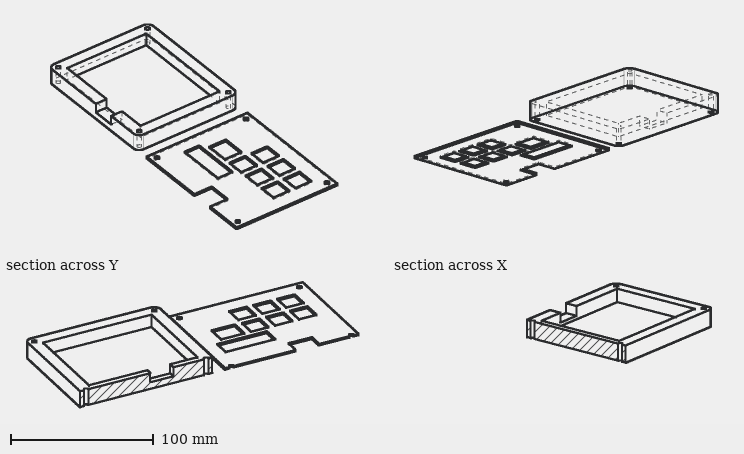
import cadquery as cq

overall_length = 220.7
plate_gap = 10.0
plate_shift_y = 0.5

screw_diameter = 3.3
screw_pitch_x = 95.0
screw_pitch_y = 78.0

tray_length = 105.0
tray_width = 88.0
tray_height = 13.0
tray_corner_radius = 5.0
wall = 9.5
pocket_depth = 10.0
tray_notch_left = 55.8
tray_notch_length = 18.0
tray_notch_depth = 7.3

plate_length = overall_length - tray_length - plate_gap
plate_width = tray_width
plate_thickness = 1.5
plate_notch_left = 56.0
plate_notch_length = 18.5
plate_notch_width = 15.2

key_size = 14.0
key_pitch_x = 19.0
key_pitch_y = 19.2
key_columns = 3
key_rows = 2
keys_left = 40.5
keys_front = 42.1
switch_left = 16.8
switch_length = 18.5
switch_width = 14.5
display_left = 11.3
display_front = 24.7
display_length = 39.3
display_width = 12.8


def corner_box(left, front, bottom, length, width, height):
    """Box placed by its front left bottom corner."""
    box = cq.Workplane("XY").box(length, width, height, centered=False)
    return box.translate((left, front, bottom))


def screw_holes(length, width, height):
    """Four cutting cylinders centred on a length x width outline."""
    return (
        cq.Workplane("XY")
        .center(length / 2, width / 2)
        .rect(screw_pitch_x, screw_pitch_y, forConstruction=True)
        .vertices()
        .circle(screw_diameter / 2)
        .extrude(height)
    )


def make_tray():
    """Round-cornered tray with a pocket and a cable notch in the front wall."""
    body = corner_box(0, 0, 0, tray_length, tray_width, tray_height)
    body = body.edges("|Z").fillet(tray_corner_radius)
    pocket = corner_box(
        wall, wall, tray_height - pocket_depth,
        tray_length - 2 * wall, tray_width - 2 * wall, pocket_depth,
    )
    notch = corner_box(
        tray_notch_left, 0, tray_height - tray_notch_depth,
        tray_notch_length, wall, tray_notch_depth,
    )
    holes = screw_holes(tray_length, tray_width, tray_height)
    return body.cut(pocket).cut(notch).cut(holes)


def plate_window(left, front, length, width):
    """Cutting block for a rectangular opening through the plate."""
    return corner_box(left, front, 0, length, width, plate_thickness)


def make_plate():
    """Square-cornered cover plate with key, switch and display windows."""
    body = corner_box(0, 0, 0, plate_length, plate_width, plate_thickness)
    body = body.cut(screw_holes(plate_length, plate_width, plate_thickness))
    for column in range(key_columns):
        for row in range(key_rows):
            key_left = keys_left + column * key_pitch_x
            key_front = keys_front + row * key_pitch_y
            body = body.cut(plate_window(key_left, key_front, key_size, key_size))
    body = body.cut(plate_window(switch_left, keys_front, switch_length, switch_width))
    body = body.cut(plate_window(display_left, display_front, display_length, display_width))
    return body.cut(plate_window(plate_notch_left, 0, plate_notch_length, plate_notch_width))


tray = make_tray()
plate = make_plate().translate((tray_length + plate_gap, plate_shift_y, 0))

result = cq.Compound.makeCompound([tray.val(), plate.val()])